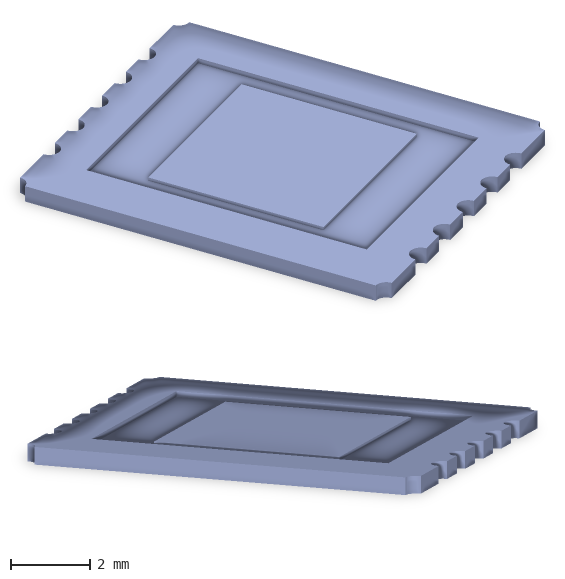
import cadquery as cq

plate_length = 10.6
plate_width = 8.8
plate_thickness = 0.46

notch_radius = 0.3
notch_pitch = 1.27
notches_per_side = 5

pocket_length = 8.0
pocket_width = 6.0
pocket_depth = 0.15
pocket_floor = plate_thickness - pocket_depth

die_side = 5.0
die_thickness = 0.1


def notch_centers():
    """Centres of the edge notches and of the four corner notches."""
    first_notch_y = -notch_pitch * (notches_per_side - 1) / 2
    edge_ys = [first_notch_y + i * notch_pitch for i in range(notches_per_side)]
    corner_ys = [-plate_width / 2, plate_width / 2]
    return [
        (side * plate_length / 2, y)
        for side in (-1, 1)
        for y in edge_ys + corner_ys
    ]


def make_plate():
    """Notched plate with the die pocket sunk into its top face."""
    blank = cq.Workplane("XY").box(
        plate_length, plate_width, plate_thickness, centered=(True, True, False)
    )
    notches = (
        cq.Workplane("XY")
        .pushPoints(notch_centers())
        .circle(notch_radius)
        .extrude(plate_thickness)
    )
    pocket = (
        cq.Workplane("XY", origin=(0, 0, pocket_floor))
        .rect(pocket_length, pocket_width)
        .extrude(pocket_depth)
    )
    return blank.cut(notches).cut(pocket)


def make_die():
    """Square die standing on the pocket floor."""
    return (
        cq.Workplane("XY", origin=(0, 0, pocket_floor))
        .rect(die_side, die_side)
        .extrude(die_thickness)
    )


plate = make_plate()
die = make_die()

result = cq.Compound.makeCompound([plate.val(), die.val()])